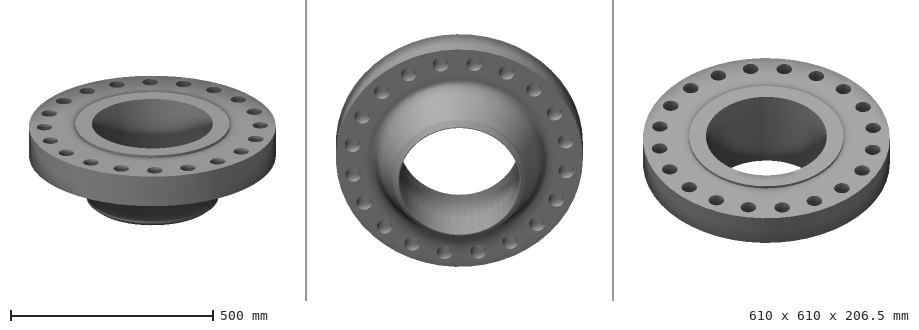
import cadquery as cq

flange_radius = 305.0
total_height = 206.5
raised_face_height = 7.0
raised_face_radius = 191.0
flange_thickness = 80.0
bore_radius = 149.5

neck_radius = 163.0
neck_land_top = 16.5
bevel_height = 9.0
bevel_width = 11.0
hub_radius = 210.0
hub_fillet = 15.0

bolt_count = 20
bolt_circle_radius = 266.5
bolt_hole_diameter = 38.5

flange_top = total_height - raised_face_height
flange_bottom = flange_top - flange_thickness


def make_body():
    """Revolve the flange, raised face and tapered neck around Z."""
    profile = (
        cq.Workplane("XZ")
        .moveTo(bore_radius, 0)
        .lineTo(neck_radius - bevel_width, 0)
        .lineTo(neck_radius, bevel_height)
        .lineTo(neck_radius, neck_land_top)
        .lineTo(hub_radius, flange_bottom)
        .lineTo(flange_radius, flange_bottom)
        .lineTo(flange_radius, flange_top)
        .lineTo(raised_face_radius, flange_top)
        .lineTo(raised_face_radius, total_height)
        .lineTo(bore_radius, total_height)
        .close()
    )
    return profile.revolve(360, (0, 0, 0), (0, 1, 0))


def round_hub_root(body):
    """Blend the neck taper into the underside of the flange."""
    margin = 0.5
    root = cq.selectors.BoxSelector(
        (-hub_radius - margin, -hub_radius - margin, flange_bottom - margin),
        (hub_radius + margin, hub_radius + margin, flange_bottom + margin),
        boundingbox=True,
    )
    return body.edges(root).fillet(hub_fillet)


def drill_bolt_holes(body):
    """Drill the ring of through holes, the first one on +X."""
    holes = (
        cq.Workplane("XY")
        .workplane(offset=flange_bottom)
        .polarArray(bolt_circle_radius, 0, 360, bolt_count)
        .circle(bolt_hole_diameter / 2)
        .extrude(flange_thickness)
    )
    return body.cut(holes)


result = drill_bolt_holes(round_hub_root(make_body()))